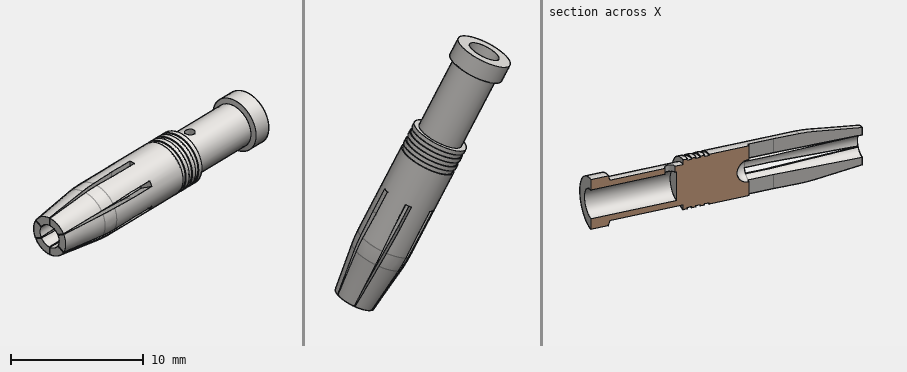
import cadquery as cq
import math

length = 22.2
body_diameter = 4.42
body_radius = body_diameter / 2
cut_margin = 0.22

flange_length = 1.45
flange_cone_length = 0.13
neck_radius = 1.8
wire_bore_radius = 1.25
wire_bore_depth = 7.0
inspection_hole_diameter = 0.8
inspection_hole_from_rear = 6.45

collar_from_rear = 7.53
groove_count = 3
groove_width = 0.35
groove_pitch = 2 * groove_width
groove_radius = 2.1

nose_length = 5.1
nose_cone_length = 3.88
tip_radius = 1.65

socket_radius = 0.98
slot_length = 9.25
slot_taper_length = 7.2
slot_width = 0.47
slot_tip_width = 0.07
slot_count = 6

collar_y = length - collar_from_rear


def make_body():
    """Turned outside shape, with a tangent arc blending the body into the nose cone."""
    flange_y = length - flange_length
    cone_start_radius = body_radius - blend_drop()
    return (
        cq.Workplane("XY")
        .moveTo(0, length)
        .lineTo(body_radius, length)
        .lineTo(body_radius, flange_y)
        .lineTo(neck_radius, flange_y - flange_cone_length)
        .lineTo(neck_radius, collar_y)
        .lineTo(body_radius, collar_y)
        .lineTo(body_radius, nose_length)
        .tangentArcPoint((cone_start_radius, nose_cone_length), relative=False)
        .lineTo(tip_radius, 0)
        .lineTo(0, 0)
        .close()
        .revolve(360, (0, 0, 0), (0, 1, 0))
    )


def blend_drop():
    """Radius lost across the blend arc for an end practically tangent to the nose cone."""
    blend_length = nose_length - nose_cone_length
    total_drop = body_radius - tip_radius
    cone_angle = math.atan(total_drop / (nose_length - blend_length / 2))
    return blend_length * math.tan(cone_angle / 2)


def make_groove(rear_y):
    return (
        cq.Workplane("XZ", origin=(0, rear_y, 0))
        .circle(body_radius + cut_margin)
        .circle(groove_radius)
        .extrude(groove_width)
    )


def make_socket():
    """Front bore with a hemispherical bottom just behind the slots."""
    return (
        cq.Workplane("XY")
        .lineTo(socket_radius, 0)
        .lineTo(socket_radius, slot_length)
        .tangentArcPoint((0, slot_length + socket_radius), relative=False)
        .close()
        .revolve(360, (0, 0, 0), (0, 1, 0))
    )


def make_slot(angle):
    """Slot from the axis outward that narrows toward the tip."""
    return (
        cq.Workplane("XY")
        .polyline([
            (-slot_width / 2, slot_length),
            (slot_width / 2, slot_length),
            (slot_width / 2, slot_taper_length),
            (slot_tip_width / 2, 0),
            (-slot_tip_width / 2, 0),
            (-slot_width / 2, slot_taper_length),
        ])
        .close()
        .extrude(body_radius + cut_margin)
        .rotate((0, 0, 0), (0, 1, 0), angle)
    )


result = make_body()

for index in range(groove_count):
    result = result.cut(make_groove(collar_y - groove_width - index * groove_pitch))

result = result.cut(make_socket())

for index in range(slot_count):
    result = result.cut(make_slot(index * 360 / slot_count))

wire_bore = cq.Workplane("XZ", origin=(0, length, 0)).circle(wire_bore_radius).extrude(wire_bore_depth)
result = result.cut(wire_bore)

inspection_hole = (
    cq.Workplane("XY")
    .center(0, length - inspection_hole_from_rear)
    .circle(inspection_hole_diameter / 2)
    .extrude(body_radius)
)
result = result.cut(inspection_hole)